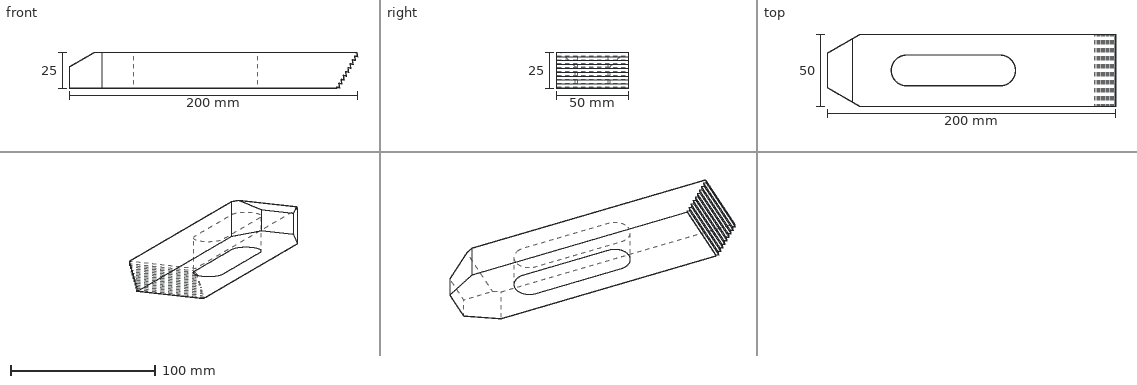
import cadquery as cq
import math

length = 200.0
width = 50.0
height = 25.0

nose_width = 24.0
nose_height = 15.0
nose_angle = math.radians(30)
side_taper_length = (width - nose_width) / 2 / math.tan(nose_angle)
top_taper_length = (height - nose_height) / math.tan(nose_angle)

slot_start = 44.5
slot_length = 86.0
slot_width = 21.2

face_angle = math.radians(60)
tooth_count = 9
first_to_last_tip = 25.0
tooth_pitch = first_to_last_tip / (tooth_count - 1)
first_tip_depth = 3.0
hook_length = 2.2
hook_angle = math.radians(15)
hook_run = hook_length * math.cos(hook_angle)
hook_rise = hook_length * math.sin(hook_angle)
pitch_run = tooth_pitch * math.cos(face_angle)
pitch_drop = tooth_pitch * math.sin(face_angle)

flank_slope = (hook_run - pitch_run) / (hook_rise + pitch_drop)

bevel_drop = 0.15
bevel_length = 1.12


def serration_points():
    """Return the XZ zigzag from the top face down to the base."""
    bevel_end = length - (first_tip_depth - bevel_drop) * flank_slope
    points = [
        (bevel_end - bevel_length, height),
        (bevel_end, height - bevel_drop),
    ]
    for index in range(tooth_count):
        tip_x = length - index * pitch_run
        tip_z = height - first_tip_depth - index * pitch_drop
        root_x = tip_x - hook_run
        root_z = tip_z + hook_rise
        points += [(tip_x, tip_z), (root_x, root_z)]
    points.append((root_x + root_z * flank_slope, 0))
    return points


def make_side_profile():
    """Side outline with the sloped nose and the teeth, extruded across the width."""
    nose = [(0, 0), (0, nose_height), (top_taper_length, height)]
    outline = nose + serration_points()
    return cq.Workplane("XZ").polyline(outline).close().extrude(width / 2, both=True)


def make_plan_profile():
    """Plan outline with the sides tapering in to the nose, extruded over the height."""
    outline = [
        (0, -nose_width / 2),
        (side_taper_length, -width / 2),
        (length, -width / 2),
        (length, width / 2),
        (side_taper_length, width / 2),
        (0, nose_width / 2),
    ]
    return cq.Workplane("XY").polyline(outline).close().extrude(height)


def make_slot():
    """Round-ended through slot along the centre line."""
    slot_center = slot_start + slot_length / 2
    return cq.Workplane("XY").center(slot_center, 0).slot2D(slot_length, slot_width).extrude(height)


result = make_side_profile().intersect(make_plan_profile()).cut(make_slot())